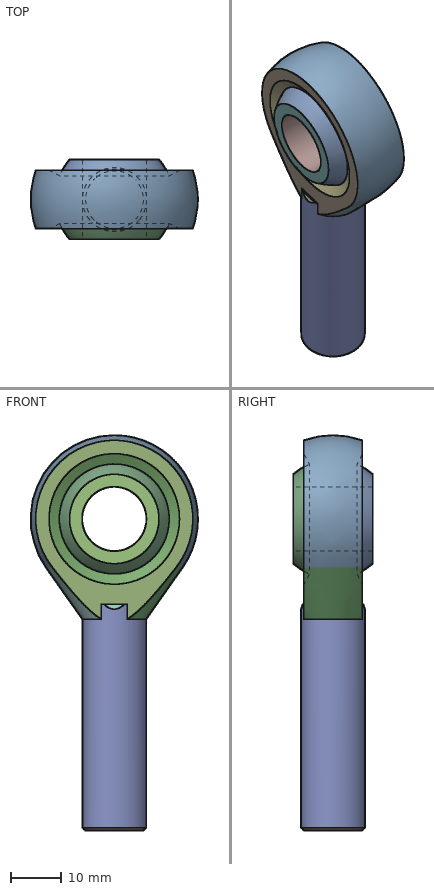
import cadquery as cq
import math

total_length = 78.6
head_radius = 16.7
head_thickness = 11.6
shank_radius = 6.4
shank_end_chamfer = 0.6
neck_depth = 19.9

ball_width = 15.9
ball_face_radius = 8.9
bore_radius = 6.4

recess_outer_radius = 13.0
recess_inner_radius = 10.9

stub_top_depth = 17.0
stub_bevel_height = 0.95
stub_bevel_inset = 0.3

slab_size = total_length
half_thickness = head_thickness / 2
shank_bottom = head_radius - total_length
ball_radius = math.hypot(ball_face_radius, ball_width / 2)
recess_floor = math.sqrt(ball_radius**2 - recess_inner_radius**2)


def make_head():
    """Sphere with a tangent conical neck, sliced by two flat faces."""
    foot_distance = math.hypot(shank_radius, neck_depth)
    tangent_angle = math.atan2(shank_radius, neck_depth) + math.acos(head_radius / foot_distance)
    tangent_x = head_radius * math.sin(tangent_angle)
    tangent_z = -head_radius * math.cos(tangent_angle)
    body = (
        cq.Workplane("XZ")
        .moveTo(0, head_radius)
        .threePointArc((head_radius, 0), (tangent_x, tangent_z))
        .lineTo(shank_radius, -neck_depth)
        .lineTo(0, -neck_depth)
        .close()
        .revolve(360, (0, 0), (0, 1))
    )
    slab = cq.Workplane("XY").box(slab_size, head_thickness, slab_size)
    return body.intersect(slab)


def make_shank():
    """Round shank whose proud upper ends are bevelled by sloping planes."""
    shank = (
        cq.Workplane("XY", origin=(0, 0, shank_bottom))
        .circle(shank_radius)
        .extrude(-stub_top_depth - shank_bottom)
        .faces("<Z")
        .chamfer(shank_end_chamfer)
    )
    for side in (-1, 1):
        bevel = (
            cq.Workplane("YZ")
            .polyline([
                (side * shank_radius, -stub_top_depth - stub_bevel_height),
                (side * shank_radius, -stub_top_depth),
                (side * (shank_radius - stub_bevel_inset), -stub_top_depth),
            ])
            .close()
            .extrude(shank_radius, both=True)
        )
        shank = shank.cut(bevel)
    return shank


def make_recess_cutter():
    """Cutter for both conical recesses, meeting the ball at their floors."""
    return (
        cq.Workplane("XY")
        .moveTo(0, -half_thickness)
        .lineTo(recess_outer_radius, -half_thickness)
        .lineTo(recess_inner_radius, -recess_floor)
        .lineTo(recess_inner_radius, recess_floor)
        .lineTo(recess_outer_radius, half_thickness)
        .lineTo(0, half_thickness)
        .close()
        .revolve(360, (0, 0), (0, 1))
    )


def make_ball():
    """Sphere truncated to the ball width."""
    ball_slab = cq.Workplane("XY").box(slab_size, ball_width, slab_size)
    return cq.Workplane("XY").sphere(ball_radius).intersect(ball_slab)


bore = cq.Workplane("XZ").circle(bore_radius).extrude(ball_width, both=True)

result = make_head().union(make_shank()).cut(make_recess_cutter()).union(make_ball()).cut(bore)